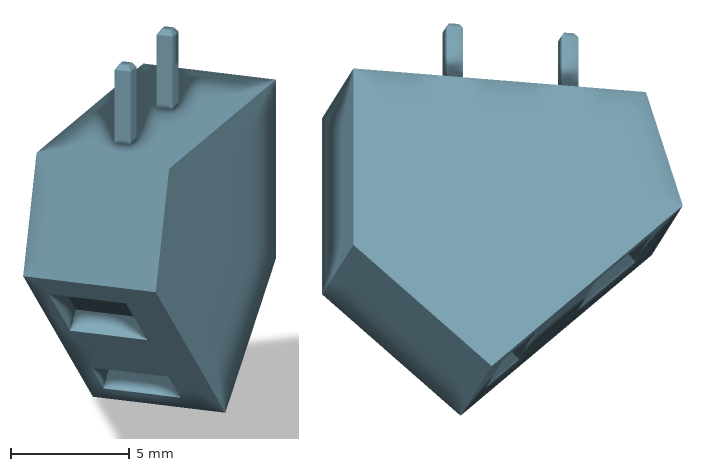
import cadquery as cq

total_width = 6.0
total_depth = 14.3
total_height = 16.5

cover_thickness = 1.0
pin_length = 3.5
body_height = total_height - pin_length
front_edge_z = 7.99
back_edge_z = 5.0
top_front_y = 1.6
bottom_edge_y = 8.3
block_width = total_width - cover_thickness

pin_side = 0.73
pin_tip_height = 0.21
pin_tip_inset = 0.15
pin_pitch = 5.0
front_pin_y = 4.3
pin_rows = [front_pin_y, front_pin_y + pin_pitch]

pocket_width = 3.5
pocket_depth = 1.0
lower_pocket_start = 0.99
lower_pocket_length = 2.0
upper_pocket_start = 6.5
upper_pocket_length = 3.5


def profile_slab(x_start, thickness):
    """Slab with the pentagon side profile, extending along +X from x_start."""
    outline = [
        (top_front_y, body_height),
        (0, front_edge_z),
        (bottom_edge_y, 0),
        (total_depth, back_edge_z),
        (total_depth, body_height),
    ]
    return cq.Workplane("YZ", origin=(x_start, 0, 0)).polyline(outline).close().extrude(thickness)


def make_pin(y):
    """Square pin on the top face, ending in a tapered tip."""
    shaft_length = pin_length - pin_tip_height
    tip_side = pin_side - 2 * pin_tip_inset
    shaft = (
        cq.Workplane("XY", origin=(total_width / 2, y, body_height))
        .rect(pin_side, pin_side)
        .extrude(shaft_length)
    )
    tip = (
        cq.Workplane("XY", origin=(total_width / 2, y, body_height + shaft_length))
        .rect(pin_side, pin_side)
        .workplane(offset=pin_tip_height)
        .rect(tip_side, tip_side)
        .loft(ruled=True)
    )
    return shaft.union(tip)


def make_pocket(start, length):
    """Rectangular cutter sunk square into the sloping underside."""
    slope_plane = cq.Plane(
        origin=(block_width / 2, bottom_edge_y, 0),
        xDir=(1, 0, 0),
        normal=(0, -front_edge_z, -bottom_edge_y),
    )
    return (
        cq.Workplane(slope_plane)
        .center(0, start + length / 2)
        .rect(pocket_width, length)
        .extrude(-pocket_depth)
    )


def make_housing():
    """Main block with its two pins and two pockets."""
    housing = profile_slab(0, block_width)
    for y in pin_rows:
        housing = housing.union(make_pin(y))
    housing = housing.cut(make_pocket(lower_pocket_start, lower_pocket_length))
    return housing.cut(make_pocket(upper_pocket_start, upper_pocket_length))


def make_cover():
    """Flat side plate that continues the profile of the block."""
    return profile_slab(block_width, cover_thickness)


housing = make_housing()
cover = make_cover()

result = cq.Compound.makeCompound([housing.val(), cover.val()])